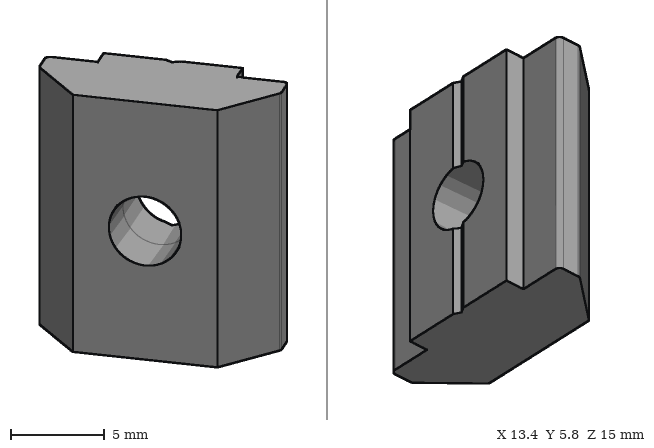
import cadquery as cq

width = 13.4
depth = 5.8
length = 15.0

front_face_width = 8.0
neck_width = 7.7
neck_height = 1.22
flank_start = 2.7
edge_radius = 0.3

groove_width = 0.81
groove_depth = 0.22

hole_diameter = 4.0

back_y = depth / 2
front_y = -depth / 2
shoulder_y = back_y - neck_height
flank_y = back_y - flank_start


def make_body():
    """T-slot nut profile extruded along Z, with rounded outer edges."""
    right_side = [
        (front_face_width / 2, front_y),
        (width / 2, flank_y),
        (width / 2, shoulder_y),
        (neck_width / 2, shoulder_y),
        (neck_width / 2, back_y),
    ]
    left_side = [(-x, y) for x, y in reversed(right_side)]
    body = (
        cq.Workplane("XY")
        .workplane(offset=-length / 2)
        .polyline(right_side + left_side)
        .close()
        .extrude(length)
    )
    outer_edges = body.faces("<X or >X").edges("|Z")
    return outer_edges.fillet(edge_radius)


def make_groove():
    """V-shaped groove cutter running the full length of the back face."""
    return (
        cq.Workplane("XY")
        .workplane(offset=-length / 2)
        .polyline([
            (-groove_width / 2, back_y),
            (0, back_y - groove_depth),
            (groove_width / 2, back_y),
        ])
        .close()
        .extrude(length)
    )


def make_hole():
    """Cylinder cutter passing through the part along Y."""
    return cq.Workplane("XZ").circle(hole_diameter / 2).extrude(depth, both=True)


result = make_body().cut(make_groove()).cut(make_hole())